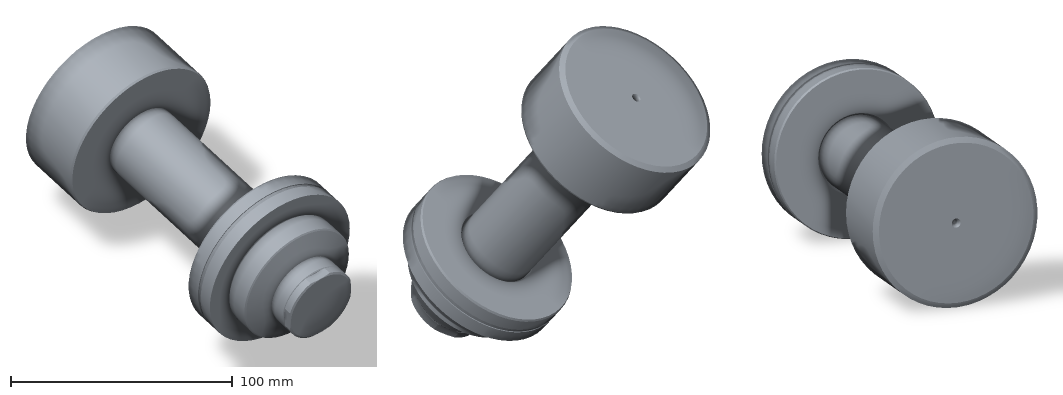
import cadquery as cq
import math

total_length = 166.0

head_radius = 40.0
head_length = 34.7
head_front_chamfer_length = 1.3
head_front_chamfer_depth = 2.5
head_back_chamfer_length = 1.0
head_back_chamfer_depth = 0.5
shaft_radius = 18.1
tip_start = 161.7
tip_groove_width = 0.5
tip_groove_depth = 0.5
tip_chamfer_length = 0.5
tip_chamfer_depth = 1.0
tip_flat_distance = 17.3
tip_flat_count = 4

centre_hole_radius = 1.2
centre_hole_depth = 5.0
countersink_radius = 2.2
countersink_angle = 60.0

flange_start = 119.7
flange_end = 136.0
flange_radius = head_radius
flange_chamfer_length = 1.0
flange_chamfer_depth = 0.5
flange_groove_start = 127.2
flange_groove_end = 129.1
flange_groove_depth = 0.5
hub_radius = 29.9
hub_front_chamfer_length = 1.3
hub_front_chamfer_depth = 1.0
taper_start = 148.2
taper_break_length = 0.5
taper_break_depth = 0.7
collar_end = 153.0
bore_chamfer = 1.0


def turned(outline):
    """Revolve an outline of (x, radius) points about the X axis."""
    return cq.Workplane("XY").polyline(outline).close().revolve(360, (0, 0, 0), (1, 0, 0))


def make_centre_hole():
    """Drilled hole with a conical mouth, opening at x = 0."""
    countersink_depth = (countersink_radius - centre_hole_radius) / math.tan(
        math.radians(countersink_angle / 2)
    )
    return turned([
        (0, 0),
        (0, countersink_radius),
        (countersink_depth, centre_hole_radius),
        (centre_hole_depth, centre_hole_radius),
        (centre_hole_depth, 0),
    ])


def cut_tip_flats(body):
    """Cut equally spaced flats, facing Y and Z, around the tip."""
    tip_length = total_length - tip_start
    cutter_height = shaft_radius
    cutter = cq.Workplane("XY").box(
        tip_length, 2 * shaft_radius, cutter_height, centered=(False, True, False)
    ).translate((tip_start, 0, tip_flat_distance))
    for i in range(tip_flat_count):
        body = body.cut(cutter.rotate((0, 0, 0), (1, 0, 0), i * 360 / tip_flat_count))
    return body


def make_spindle():
    groove_radius = shaft_radius - tip_groove_depth
    body = turned([
        (0, 0),
        (0, head_radius - head_front_chamfer_depth),
        (head_front_chamfer_length, head_radius),
        (head_length - head_back_chamfer_length, head_radius),
        (head_length, head_radius - head_back_chamfer_depth),
        (head_length, shaft_radius),
        (tip_start - tip_groove_width, shaft_radius),
        (tip_start, groove_radius),
        (tip_start, shaft_radius),
        (total_length - tip_chamfer_length, shaft_radius),
        (total_length, shaft_radius - tip_chamfer_depth),
        (total_length, 0),
    ])
    return cut_tip_flats(body).cut(make_centre_hole())


def make_collar():
    groove_radius = flange_radius - flange_groove_depth
    return turned([
        (flange_start + bore_chamfer, shaft_radius),
        (flange_start, shaft_radius + bore_chamfer),
        (flange_start, flange_radius - flange_chamfer_depth),
        (flange_start + flange_chamfer_length, flange_radius),
        (flange_groove_start, flange_radius),
        (flange_groove_start, groove_radius),
        (flange_groove_end, groove_radius),
        (flange_groove_end, flange_radius),
        (flange_end, flange_radius),
        (flange_end, hub_radius - hub_front_chamfer_depth),
        (flange_end + hub_front_chamfer_length, hub_radius),
        (taper_start, hub_radius),
        (taper_start + taper_break_length, hub_radius - taper_break_depth),
        (collar_end, shaft_radius),
    ])


spindle = make_spindle()
collar = make_collar()

result = cq.Compound.makeCompound([spindle.val(), collar.val()])